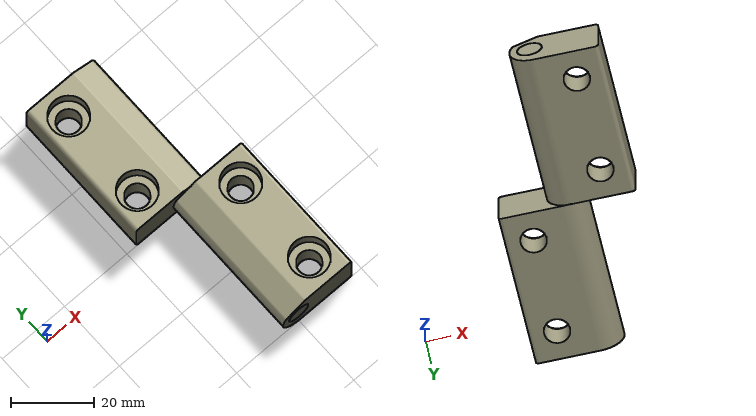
import cadquery as cq
import math

leaf_length = 40.0
leaf_height = 12.0
leaf_reach = 17.0
outer_edge_radius = 1.0

nose_radius = leaf_height / 2
nose_reach = 5.0
slope_angle = 25.0
slope_top_x = 2.0
slope_edge_radius = 1.0

axis_height = leaf_height / 2
pin_diameter = 6.0
fixed_bore_diameter = pin_diameter
running_bore_diameter = 6.15
pin_length = 2 * leaf_length

screw_x = 10.0
screw_spacing = 25.0
screw_diameter = 6.4
counterbore_diameter = 10.4
counterbore_depth = 4.5


def leaf_blank():
    """Leaf from Y = -leaf_length to 0, with its nose toward -X."""
    nose_center_x = nose_radius - nose_reach
    slope = math.tan(math.radians(slope_angle))

    slope_offset = leaf_height - axis_height - slope * (slope_top_x - nose_center_x)
    root = math.sqrt(nose_radius**2 * (1 + slope**2) - slope_offset**2)
    foot_u = -(slope * slope_offset + root) / (1 + slope**2)
    slope_foot_x = nose_center_x + foot_u
    slope_foot_z = axis_height + slope * foot_u + slope_offset

    blank = (
        cq.Workplane("XZ")
        .moveTo(nose_center_x, 0)
        .lineTo(leaf_reach, 0)
        .lineTo(leaf_reach, leaf_height)
        .lineTo(slope_top_x, leaf_height)
        .lineTo(slope_foot_x, slope_foot_z)
        .threePointArc((-nose_reach, axis_height), (nose_center_x, 0))
        .close()
        .extrude(leaf_length)
    )
    middle_y = -leaf_length / 2
    for x, z in [(slope_top_x, leaf_height), (slope_foot_x, slope_foot_z)]:
        slope_edge = cq.NearestToPointSelector((x, middle_y, z))
        blank = blank.edges(slope_edge).fillet(slope_edge_radius)
    return blank.faces(">X").edges("|Y").fillet(outer_edge_radius)


def leaf(bore_diameter):
    """Leaf with its pin bore and two counterbored screw holes."""
    bore = (
        cq.Workplane("XZ")
        .center(0, axis_height)
        .circle(bore_diameter / 2)
        .extrude(leaf_length)
    )
    middle_y = -leaf_length / 2
    screw_points = [(screw_x, middle_y + side * screw_spacing / 2) for side in (-1, 1)]
    return (
        leaf_blank()
        .cut(bore)
        .faces(">Z")
        .workplane(origin=(0, 0, leaf_height))
        .pushPoints(screw_points)
        .cboreHole(screw_diameter, counterbore_diameter, counterbore_depth)
    )


def hinge_pin():
    """Plain pin running the full length of both leaves."""
    return (
        cq.Workplane("XZ")
        .center(0, axis_height)
        .circle(pin_diameter / 2)
        .extrude(pin_length / 2, both=True)
    )


running_leaf = leaf(running_bore_diameter)
fixed_leaf = leaf(fixed_bore_diameter).rotate((0, 0, 0), (0, 0, 1), 180)
pin = hinge_pin()

result = cq.Compound.makeCompound([running_leaf.val(), fixed_leaf.val(), pin.val()])